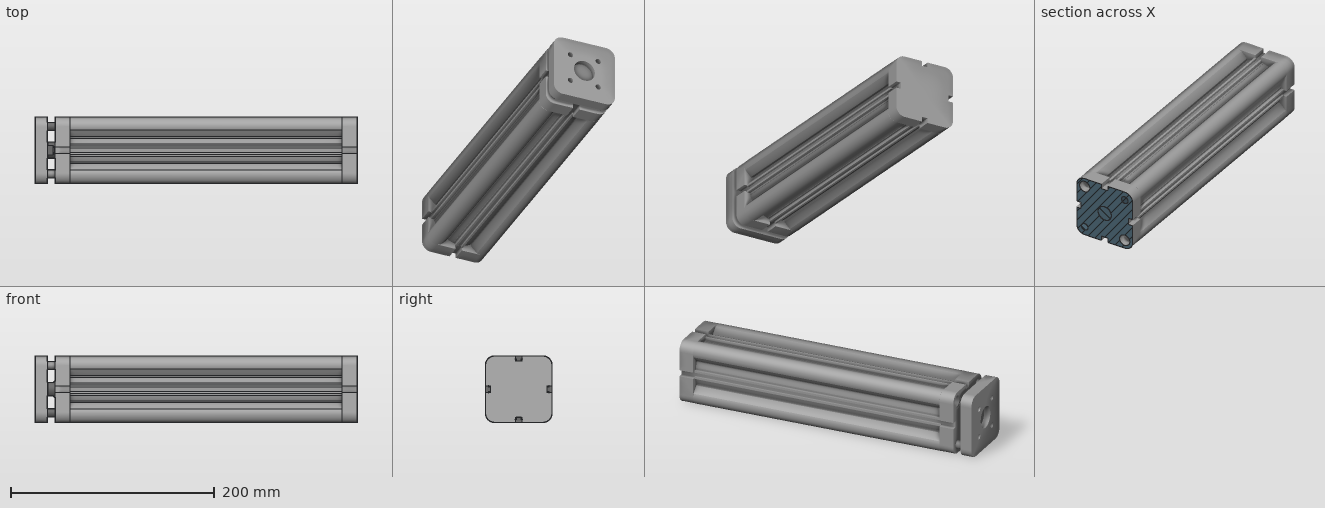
import cadquery as cq
import math

length = 316.5
width = 65.5
half_width = width / 2

plate_thickness = 12.0
plate_corner_radius = 9.5
pocket_diameter = 22.5
pocket_depth = 6.5
mounting_hole_diameter = 5.7
mounting_hole_offset = 15.0

cap_start = 19.5
cap_length = 15.0
cap_corner_radius = 9.5
cap_slot_width = 6.5
cap_slot_depth = 5.0
front_cap_end = cap_start + cap_length
rear_cap_start = length - cap_length

tube_radius = 27.0
corner_radius = 9.2
corner_arc_end = 19.5
ramp_foot = 13.3
groove_inner = 11.7
groove_floor = 23.0
rail_foot_half_width = 6.2
rail_foot_height = 26.5
rail_half_width = 4.3
rail_height = 29.8
rail_slot_half_width = 2.2
rail_slot_floor = 27.5

corner_offset = 23.25
guide_diameter = 8.2
screw_seat_diameter = 15.8
screw_seat_depth = 0.3
screw_hole_diameter = 11.5
screw_hole_depth = 8.0

rod_diameter = 16.0
rod_chamfer = 0.47
rod_flat_distance = 13.3
rod_flat_length = 5.7

rod_length = front_cap_end - plate_thickness

guide_places = [(-corner_offset, corner_offset), (corner_offset, -corner_offset)]
screw_places = [(corner_offset, corner_offset), (-corner_offset, -corner_offset)]
hole_places = [(y * mounting_hole_offset, z * mounting_hole_offset) for y in (-1, 1) for z in (-1, 1)]


def cylinders(places, diameter, start, height):
    """Cylinders along X, one at each (y, z) place."""
    return (
        cq.Workplane("YZ", origin=(start, 0, 0))
        .pushPoints(places)
        .circle(diameter / 2)
        .extrude(height)
    )


def rounded_block(start, thickness, radius):
    """Square block across the full section with its four edges along X rounded."""
    block = cq.Workplane("YZ", origin=(start, 0, 0)).rect(width, width).extrude(thickness)
    return block.edges("|X").fillet(radius)


def make_plate():
    plate = rounded_block(0, plate_thickness, plate_corner_radius)
    plate = plate.cut(cylinders([(0, 0)], pocket_diameter, 0, pocket_depth))
    return plate.cut(cylinders(hole_places, mounting_hole_diameter, 0, plate_thickness))


def make_guide_rod(place):
    return cylinders([place], guide_diameter, plate_thickness, rod_length)


def make_piston_rod():
    rod = cylinders([(0, 0)], rod_diameter, plate_thickness, rod_length)
    rod = rod.faces("<X").chamfer(rod_chamfer)
    flat_height = rod_flat_distance / 2
    flat_depth = rod_diameter / 2 - flat_height
    flat_end = plate_thickness + rod_flat_length
    flat_cut = (
        cq.Workplane("XZ")
        .moveTo(plate_thickness, flat_height)
        .lineTo(flat_end, flat_height)
        .lineTo(flat_end + flat_depth, flat_height + flat_depth)
        .lineTo(plate_thickness, flat_height + flat_depth)
        .close()
        .extrude(rod_diameter / 2, both=True)
    )
    return rod.cut(flat_cut).cut(flat_cut.mirror("XY"))


def make_cap(start):
    cap = rounded_block(start, cap_length, cap_corner_radius)
    slot = cq.Workplane("XY", origin=(start, 0, half_width - cap_slot_depth)).box(
        cap_length, cap_slot_width, cap_slot_depth, centered=(False, True, False)
    )
    for side in range(4):
        cap = cap.cut(slot.rotate((0, 0, 0), (1, 0, 0), 90 * side))
    return cap


def on_tube(y):
    """Point of the round tube surface above the given y."""
    return y, math.sqrt(tube_radius**2 - y**2)


def mirrored(points):
    """Same points on the other half of a side, in reverse order."""
    return [(-y, z) for y, z in reversed(points)]


def make_profile():
    corner_center = half_width - corner_radius
    arc_end_height = corner_center + math.sqrt(corner_radius**2 - (corner_center - corner_arc_end) ** 2)
    corner_middle = corner_center + corner_radius / math.sqrt(2)
    tube_arc_middle = on_tube((groove_inner + rail_foot_half_width) / 2)

    corner_to_tube = [
        (corner_arc_end, arc_end_height),
        (ramp_foot, arc_end_height - (corner_arc_end - ramp_foot)),
        (ramp_foot, groove_floor),
        (groove_inner, groove_floor),
        on_tube(groove_inner),
    ]
    half_rail = [
        on_tube(rail_foot_half_width),
        (rail_foot_half_width, rail_foot_height),
        (rail_half_width, rail_foot_height),
        (rail_half_width, rail_height),
        (rail_slot_half_width, rail_height),
        (rail_slot_half_width, rail_slot_floor),
    ]
    rail = half_rail + mirrored(half_rail)
    tube_to_corner = mirrored(corner_to_tube)

    outline = cq.Workplane("YZ", origin=(front_cap_end, 0, 0)).moveTo(arc_end_height, corner_arc_end)
    for side in range(4):
        turn = math.radians(90 * side)

        def turned(point):
            y, z = point
            return y * math.cos(turn) - z * math.sin(turn), y * math.sin(turn) + z * math.cos(turn)

        outline = outline.threePointArc(turned((corner_middle, corner_middle)), turned(corner_to_tube[0]))
        for point in corner_to_tube[1:]:
            outline = outline.lineTo(*turned(point))
        outline = outline.threePointArc(turned(tube_arc_middle), turned(rail[0]))
        for point in rail[1:]:
            outline = outline.lineTo(*turned(point))
        far_arc_middle = (-tube_arc_middle[0], tube_arc_middle[1])
        outline = outline.threePointArc(turned(far_arc_middle), turned(tube_to_corner[0]))
        for point in tube_to_corner[1:]:
            outline = outline.lineTo(*turned(point))
    return outline.close().extrude(rear_cap_start - front_cap_end)


def make_housing():
    housing = make_profile().union(make_cap(cap_start)).union(make_cap(rear_cap_start))
    housing = housing.cut(cylinders([(0, 0)], rod_diameter, cap_start, cap_length))
    housing = housing.cut(cylinders(guide_places, guide_diameter, cap_start, cap_length))
    housing = housing.cut(cylinders(screw_places, screw_seat_diameter, cap_start, screw_seat_depth))
    return housing.cut(cylinders(screw_places, screw_hole_diameter, cap_start, screw_hole_depth))


plate = make_plate()
piston_rod = make_piston_rod()
guide_rods = [make_guide_rod(place) for place in guide_places]
housing = make_housing()

result = cq.Compound.makeCompound(
    [plate.val(), piston_rod.val(), *[guide.val() for guide in guide_rods], housing.val()]
)